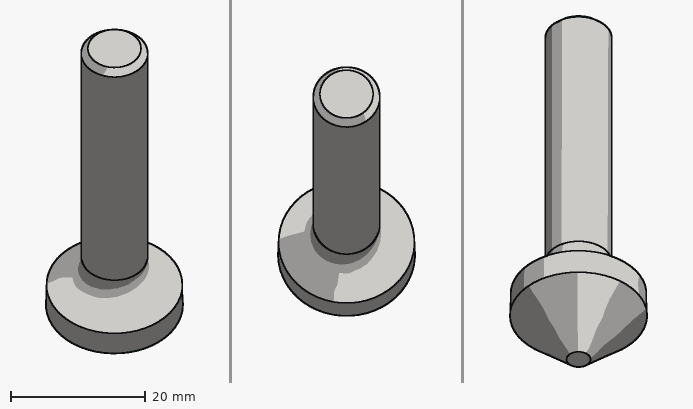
import cadquery as cq
import math

total_height = 63.0
rim_diameter = 20.5
rim_radius = rim_diameter / 2
rim_height = 8.45
band_top_radius = 10.15
band_top_height = 12.65

shank_radius = 5.0
shank_bottom = 18.7
end_chamfer = 1.0
neck_radius = 4.8
neck_fillet_radius = 3.0
neck_top = 18.1

tip_radius = rim_radius - rim_height

shoulder_angle = math.radians(30)
fillet_sweep = math.pi / 2 - shoulder_angle
fillet_center_radius = neck_radius + neck_fillet_radius
shoulder_top_radius = fillet_center_radius - neck_fillet_radius * math.cos(fillet_sweep)
shoulder_top = band_top_height + (band_top_radius - shoulder_top_radius) * math.tan(shoulder_angle)
fillet_top = shoulder_top + neck_fillet_radius * math.sin(fillet_sweep)


def neck_fillet_point(angle):
    """Point on the neck fillet, at an angle below its tangency with the neck."""
    return (
        fillet_center_radius - neck_fillet_radius * math.cos(angle),
        fillet_top - neck_fillet_radius * math.sin(angle),
    )


profile = (
    cq.Workplane("YZ")
    .moveTo(0, 0)
    .lineTo(tip_radius, 0)
    .lineTo(rim_radius, rim_height)
    .lineTo(band_top_radius, band_top_height)
    .lineTo(shoulder_top_radius, shoulder_top)
    .threePointArc(neck_fillet_point(fillet_sweep / 2), neck_fillet_point(0))
    .lineTo(neck_radius, neck_top)
    .tangentArcPoint((shank_radius, shank_bottom), relative=False)
    .lineTo(shank_radius, total_height - end_chamfer)
    .lineTo(shank_radius - end_chamfer, total_height)
    .lineTo(0, total_height)
    .close()
)

result = profile.revolve(360, (0, 0, 0), (0, 1, 0))